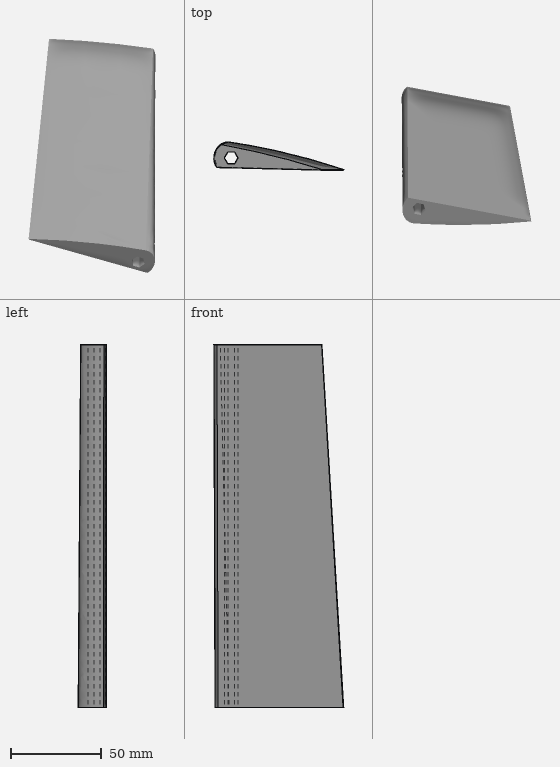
import cadquery as cq

span = 200.0
underside_break_x = 18.0

root_crown = (8.5, 15.5)
root_upper_skin = [(71.5, 0.5), (40.5, 9.5), root_crown]
root_nose = [root_crown, (2.5, 12.8), (0.5, 7.2), (2.5, 1.75)]
root_break_y = 1.35
root_trailing_corner = (71.2, 0.0)

tip_crown = (3.5, 14.2)
tip_upper_skin = [(59.5, 0.5), (32.5, 8.0), tip_crown]
tip_nose = [tip_crown, (1.2, 11.2), (0.0, 6.8), (1.8, 1.42)]
tip_break_y = 1.05
tip_trailing_corner = (59.5, 0.0)

hex_across_corners = 7.5
hex_x = 9.5
hex_y = 6.8


def section(upper_skin, nose, break_y, trailing_corner, height):
    """Closed outline: upper skin, nose, two-part underside and thin blunt trailing edge."""
    outline = (
        cq.Workplane("XY", origin=(0, 0, height))
        .moveTo(*upper_skin[0])
        .spline(upper_skin[1:], includeCurrent=True)
        .spline(nose[1:], includeCurrent=True)
        .lineTo(underside_break_x, break_y)
        .lineTo(*trailing_corner)
        .close()
    )
    return outline.val()


def make_blade():
    root = section(root_upper_skin, root_nose, root_break_y, root_trailing_corner, 0)
    tip = section(tip_upper_skin, tip_nose, tip_break_y, tip_trailing_corner, span)
    return cq.Workplane(cq.Solid.makeLoft([root, tip], True))


def make_spar_hole():
    return cq.Workplane("XY").center(hex_x, hex_y).polygon(6, hex_across_corners).extrude(span)


blade = make_blade().cut(make_spar_hole())

result = cq.Compound.makeCompound([blade.val()])